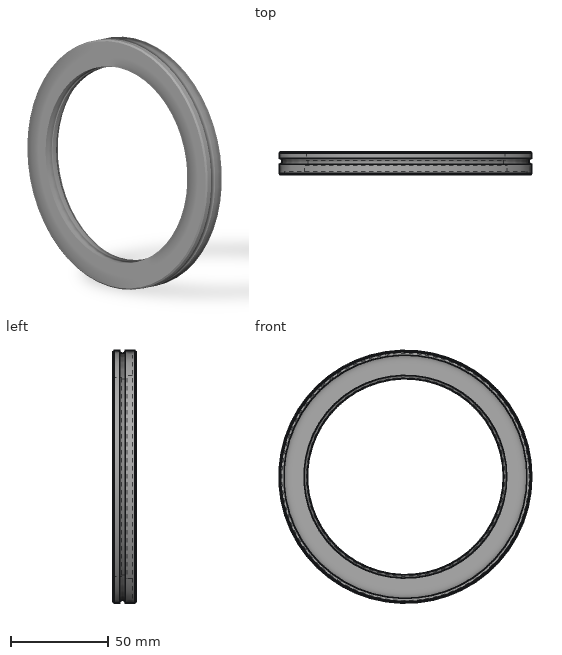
import cadquery as cq

WIDTH = 12.0
OUTER_RADIUS = 130 / 2
EDGE_CHAMFER = 0.8

RECESS_RADIUS = 125.0 / 2
RECESS_DEPTH = 2.0

COUNTERBORE_RADIUS = 104.3 / 2
COUNTERBORE_DEPTH = 3.0
BORE_RADIUS = 100.8 / 2
BACK_BORE_RADIUS = 102.2 / 2
BACK_BORE_DEPTH = 4.4

GROOVE_CENTER_Y = 7.0
GROOVE_WIDTH = 3.0
GROOVE_DEPTH = 1.4


def cylinder(radius, start_y, length):
    """Cylinder about the Y axis, extending from start_y toward the back."""
    plane = cq.Workplane("XZ", origin=(0, start_y, 0))
    return plane.circle(radius).extrude(-length)


def rim_groove():
    """Ring cutter whose section is an arc sunk into the rim."""
    half_width = GROOVE_WIDTH / 2
    return (
        cq.Workplane("XY")
        .moveTo(OUTER_RADIUS, GROOVE_CENTER_Y - half_width)
        .threePointArc(
            (OUTER_RADIUS - GROOVE_DEPTH, GROOVE_CENTER_Y),
            (OUTER_RADIUS, GROOVE_CENTER_Y + half_width),
        )
        .close()
        .revolve(360, (0, 0, 0), (0, 1, 0))
    )


blank = cylinder(OUTER_RADIUS, 0, WIDTH).edges().chamfer(EDGE_CHAMFER)

result = (
    blank
    .cut(cylinder(RECESS_RADIUS, 0, RECESS_DEPTH))
    .cut(cylinder(COUNTERBORE_RADIUS, RECESS_DEPTH, COUNTERBORE_DEPTH))
    .cut(cylinder(BORE_RADIUS, 0, WIDTH))
    .cut(cylinder(BACK_BORE_RADIUS, WIDTH - BACK_BORE_DEPTH, BACK_BORE_DEPTH))
    .cut(rim_groove())
)